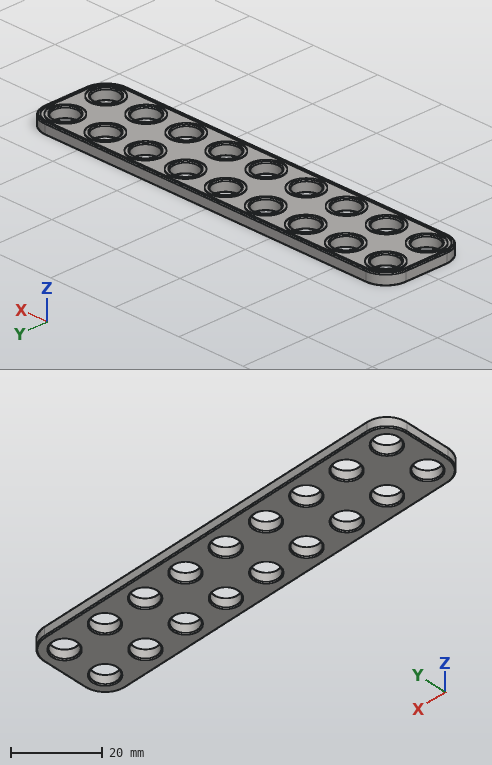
import cadquery as cq

pitch = 12.5
columns = 9
rows = 2

length = columns * pitch
width = rows * pitch
thickness = pitch / 4
corner_radius = pitch / 2
edge_chamfer = 0.3

hole_diameter = 7.0

flat_width = 0.8
rim_width = flat_width
ring_diameter = hole_diameter + 2 * (edge_chamfer + flat_width)
recess_depth = 0.2


def rounded_slab(inset, base_z, height):
    """Slab following the plate outline, moved inwards by the inset."""
    slab = cq.Workplane("XY", origin=(0, 0, base_z)).rect(length - 2 * inset, width - 2 * inset)
    return slab.extrude(height).edges("|Z").fillet(corner_radius - inset)


def grid_cylinders(diameter, base_z, height):
    """One upright cylinder at every position of the hole grid."""
    grid = cq.Workplane("XY", origin=(0, 0, base_z)).rarray(pitch, pitch, columns, rows)
    return grid.circle(diameter / 2).extrude(height)


def make_plate():
    """Plate with through holes; outline and holes are chamfered at both faces."""
    plate = rounded_slab(0, 0, thickness).cut(grid_cylinders(hole_diameter, 0, thickness))
    return plate.faces("<Z or >Z").edges().chamfer(edge_chamfer)


def make_recess():
    """Volume removed from the top face, with the rings left standing."""
    floor_z = thickness - recess_depth
    field = rounded_slab(rim_width, floor_z, recess_depth)
    return field.cut(grid_cylinders(ring_diameter, floor_z, recess_depth))


result = make_plate().cut(make_recess())